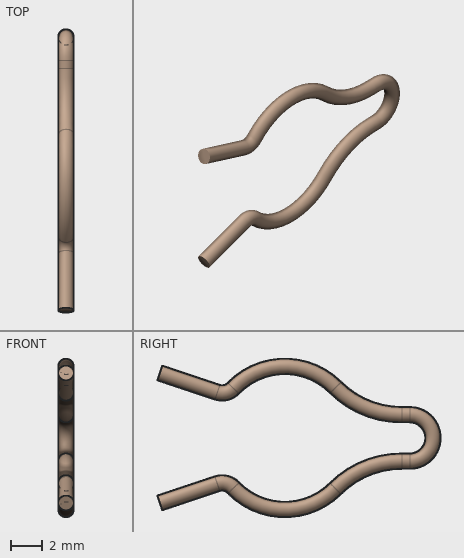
import cadquery as cq
import math

wire_diameter = 1.0
overall_length = 18.23
overall_height = 10.2
loop_end_y = 10.03
loop_radius = 1.5
neck_radius = 6.02
lip_radius = 1.0
lip_joint_angle = 46.0
leg_angle = 18.5

wire_radius = wire_diameter / 2
grip_radius = overall_height / 2 - wire_radius
loop_center_y = loop_end_y - wire_radius - loop_radius


def on_circle(center, radius, degrees):
    """Point on a circle in (Y, Z), with the angle measured from +Y toward +Z."""
    angle = math.radians(degrees)
    return (center[0] + radius * math.cos(angle), center[1] + radius * math.sin(angle))


neck_center_z = loop_radius + neck_radius
neck_center_y = math.sqrt((grip_radius + neck_radius) ** 2 - neck_center_z**2)
neck_center = (neck_center_y, neck_center_z)
neck_joint_angle = math.degrees(math.atan2(neck_center_z, neck_center_y))
neck_mid_angle = (neck_joint_angle + 180 + 270) / 2

lip_start_angle = 90 + lip_joint_angle
lip_center = on_circle((0, 0), grip_radius + lip_radius, lip_start_angle)
lip_first_angle = lip_start_angle - 180
lip_last_angle = -90 - leg_angle
lip_mid_angle = (lip_first_angle + lip_last_angle) / 2

leg_slope = math.radians(leg_angle)
lip_end = on_circle(lip_center, lip_radius, lip_last_angle)
leg_end_y = loop_end_y - overall_length + wire_radius * math.sin(leg_slope)
leg_end_z = lip_end[1] + (lip_end[0] - leg_end_y) * math.tan(leg_slope)
leg_end = (leg_end_y, leg_end_z)

neck_start = (neck_center_y, loop_radius)
neck_mid = on_circle(neck_center, neck_radius, neck_mid_angle)
grip_start = on_circle((0, 0), grip_radius, neck_joint_angle)
grip_mid = (0, grip_radius)
lip_start = on_circle((0, 0), grip_radius, lip_start_angle)
lip_mid = on_circle(lip_center, lip_radius, lip_mid_angle)


def mirrored(point):
    """Same point on the lower arm."""
    return (point[0], -point[1])


centreline = (
    cq.Workplane("YZ")
    .moveTo(*leg_end)
    .lineTo(*lip_end)
    .threePointArc(lip_mid, lip_start)
    .threePointArc(grip_mid, grip_start)
    .threePointArc(neck_mid, neck_start)
    .lineTo(loop_center_y, loop_radius)
    .threePointArc((loop_center_y + loop_radius, 0), (loop_center_y, -loop_radius))
    .lineTo(*mirrored(neck_start))
    .threePointArc(mirrored(neck_mid), mirrored(grip_start))
    .threePointArc(mirrored(grip_mid), mirrored(lip_start))
    .threePointArc(mirrored(lip_mid), mirrored(lip_end))
    .lineTo(*mirrored(leg_end))
)

leg_direction = (0, lip_end[0] - leg_end[0], lip_end[1] - leg_end[1])
section_plane = cq.Plane(origin=(0, *leg_end), xDir=(1, 0, 0), normal=leg_direction)
result = cq.Workplane(section_plane).circle(wire_radius).sweep(centreline)